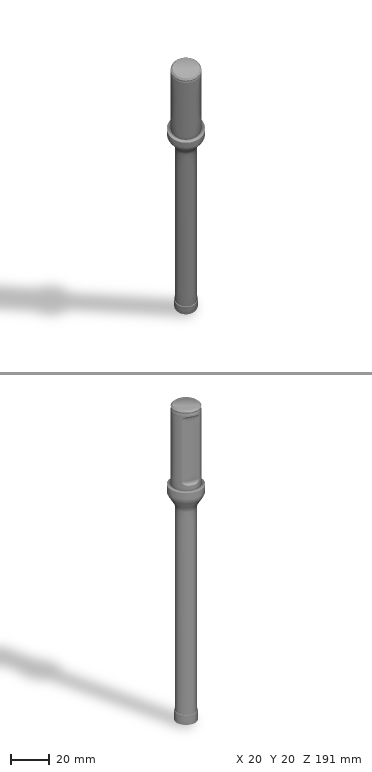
import cadquery as cq
import math

total_length = 191.0
collar_top = 143.0
neck_bottom = 129.7
tip_joint = 7.8
tip_shoulder = 2.1

shank_diameter = 16.0
collar_diameter = 20.0
stem_diameter = 11.7
tip_diameter = 12.5
point_diameter = 2.7

collar_cone_angle = 31.0
collar_blend_radius = 4.2
point_height = 0.8
shank_end_chamfer = 1.0

groove_top = total_length - shank_end_chamfer
groove_width = 1.7
groove_bottom = groove_top - groove_width
groove_side_height = groove_width / 3
groove_depth = 0.2

flat_offset = 6.3
flat_top = 187.5
flat_bottom = 146.1
flat_runout_radius = 2.3


def make_holder():
    """Turned holder: plain shank, tapered collar and long stem."""
    shank_radius = shank_diameter / 2
    collar_radius = collar_diameter / 2
    stem_radius = stem_diameter / 2
    cone_slope = math.tan(math.radians(collar_cone_angle))
    blend_tangent = collar_blend_radius * math.tan(math.radians(collar_cone_angle / 2))
    cone_bottom = neck_bottom + blend_tangent
    cone_top = cone_bottom + (collar_radius - stem_radius) / cone_slope
    profile = (
        cq.Workplane("XZ")
        .moveTo(0, tip_joint)
        .lineTo(stem_radius, tip_joint)
        .lineTo(stem_radius, cone_bottom)
        .lineTo(collar_radius, cone_top)
        .lineTo(collar_radius, collar_top)
        .lineTo(shank_radius, collar_top)
        .lineTo(shank_radius, groove_bottom)
        .lineTo(shank_radius - groove_depth, groove_bottom + groove_side_height)
        .lineTo(shank_radius - groove_depth, groove_top - groove_side_height)
        .lineTo(shank_radius, groove_top)
        .lineTo(shank_radius - shank_end_chamfer, total_length)
        .lineTo(0, total_length)
        .close()
    )
    body = profile.revolve(360, (0, 0, 0), (0, 1, 0))
    cone_ends = cq.selectors.BoxSelector(
        (-collar_diameter, -collar_diameter, neck_bottom),
        (collar_diameter, collar_diameter, (cone_top + collar_top) / 2),
    )
    body = body.edges("%CIRCLE").edges(cone_ends).fillet(collar_blend_radius)
    return body.cut(make_flat_cutter())


def make_flat_cutter():
    """Block that cuts the clamping flat, with rounded ends at its floor."""
    return (
        cq.Workplane("XY")
        .box(collar_diameter, collar_diameter, flat_top - flat_bottom, centered=(True, False, False))
        .translate((0, flat_offset, flat_bottom))
        .edges("<Y and |X")
        .fillet(flat_runout_radius)
    )


def make_tip():
    """Cutting tip: short cylinder ending in a flat cone and a steeper centre point."""
    tip_radius = tip_diameter / 2
    profile = (
        cq.Workplane("XZ")
        .lineTo(point_diameter / 2, point_height)
        .lineTo(tip_radius, tip_shoulder)
        .lineTo(tip_radius, tip_joint)
        .lineTo(0, tip_joint)
        .close()
    )
    return profile.revolve(360, (0, 0, 0), (0, 1, 0))


holder = make_holder()
tip = make_tip()
result = cq.Compound.makeCompound([holder.val(), tip.val()])